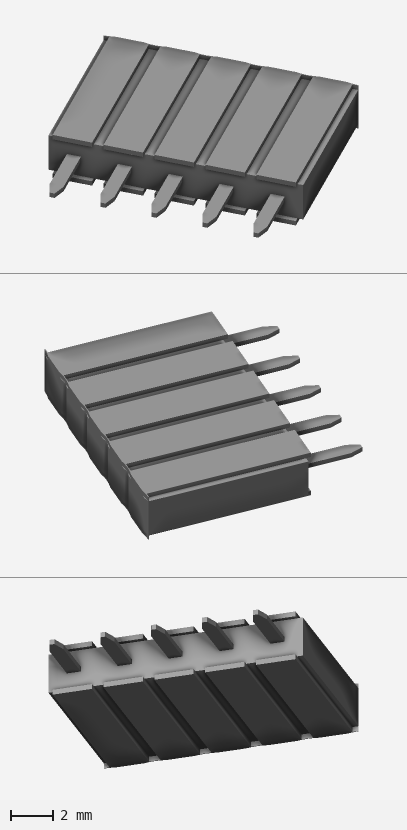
import cadquery as cq

position_count = 5
housing_width = 12.7
pitch = housing_width / position_count
housing_height = 2.5
total_depth = 11.5

body_depth = 8.27
pad_depth = 8.51
pad_width = 1.97
pad_thickness = 0.25
core_height = housing_height - 2 * pad_thickness

flange_front_depth = 0.1
scallop_depth = 0.06
rim_scallop_width = 1.14
core_scallop_width = 0.57

pin_width = 0.7
pin_thickness = 0.25
pin_tip_width = 0.24
pin_taper_length = 0.66

position_centers = [(i - (position_count - 1) / 2) * pitch for i in range(position_count)]
position_boundaries = [(i - position_count / 2) * pitch for i in range(position_count + 1)]


def block(width, rear_depth, front_depth, height, center_x=0.0):
    """Box centred on Z = 0 that spans the given distances in front of the rear face."""
    length = front_depth - rear_depth
    return cq.Workplane("XY").box(width, length, height).translate(
        (center_x, -(rear_depth + front_depth) / 2, 0)
    )


def make_scallop(center_x, width, height):
    """Cutter with an arc-shaped front, centred on Z = 0, for one hollow in the rear face."""
    return (
        cq.Workplane("XY", origin=(center_x, 0, -height / 2))
        .moveTo(-width / 2, 0)
        .threePointArc((0, -scallop_depth), (width / 2, 0))
        .close()
        .extrude(height)
    )


def make_housing():
    """Core block with raised pads above and below, a rear flange and rear scallops."""
    housing = block(housing_width, 0, body_depth, core_height)
    housing = housing.union(block(housing_width, 0, flange_front_depth, housing_height))

    for x in position_centers:
        pads = block(pad_width, 0, pad_depth, housing_height, x)
        overhang_gap = block(pad_width, body_depth, pad_depth, core_height, x)
        housing = housing.union(pads.cut(overhang_gap))

    for x in position_boundaries:
        core_scallop = make_scallop(x, core_scallop_width, core_height)
        rim_scallops = make_scallop(x, rim_scallop_width, housing_height).cut(
            make_scallop(x, rim_scallop_width, core_height)
        )
        housing = housing.cut(core_scallop).cut(rim_scallops)
    return housing


def make_pin(center_x):
    """Flat pin that starts at the front of the core and tapers to a blunt tip."""
    outline = [
        (pin_width / 2, -body_depth),
        (pin_width / 2, pin_taper_length - total_depth),
        (pin_tip_width / 2, -total_depth),
        (-pin_tip_width / 2, -total_depth),
        (-pin_width / 2, pin_taper_length - total_depth),
        (-pin_width / 2, -body_depth),
    ]
    return (
        cq.Workplane("XY", origin=(center_x, 0, -pin_thickness / 2))
        .polyline(outline)
        .close()
        .extrude(pin_thickness)
    )


housing = make_housing()
pins = [make_pin(x) for x in position_centers]

result = cq.Compound.makeCompound([housing.val(), *[pin.val() for pin in pins]])